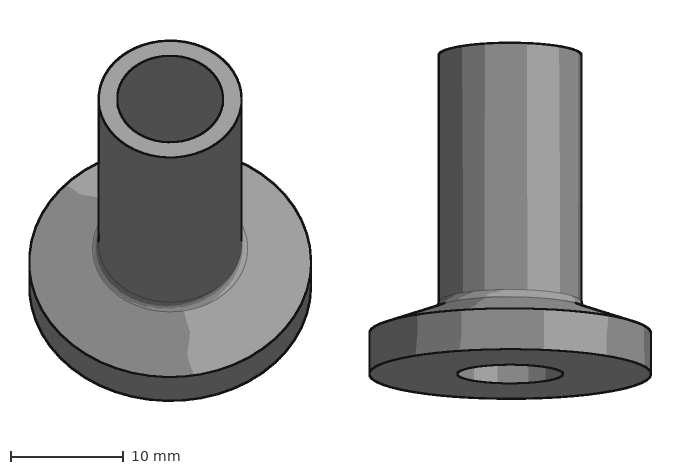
import cadquery as cq
import math

total_height = 28.7
flange_diameter = 25.0
tube_diameter = 12.69
bore_diameter = 9.38
rim_height = 3.67
cone_angle = 20.0
root_fillet = 0.8

flange_radius = flange_diameter / 2
tube_radius = tube_diameter / 2
bore_radius = bore_diameter / 2
cone_rise = (flange_radius - tube_radius) * math.tan(math.radians(cone_angle))
cone_top = rim_height + cone_rise


def make_body():
    """Revolve the rim, conical shoulder and tube about Z as a solid body."""
    profile = (
        cq.Workplane("XZ")
        .polyline([
            (0, 0),
            (flange_radius, 0),
            (flange_radius, rim_height),
            (tube_radius, cone_top),
            (tube_radius, total_height),
            (0, total_height),
        ])
        .close()
    )
    return profile.revolve(360, (0, 0, 0), (0, 1, 0))


def fillet_tube_root(body):
    """Round the inside corner where the tube meets the cone."""
    root_edge = cq.selectors.BoxSelector(
        (-flange_radius, -flange_radius, cone_top - root_fillet),
        (flange_radius, flange_radius, cone_top + root_fillet),
        boundingbox=True,
    )
    return body.edges(root_edge).fillet(root_fillet)


bore = cq.Workplane("XY").circle(bore_radius).extrude(total_height)

result = fillet_tube_root(make_body()).cut(bore)